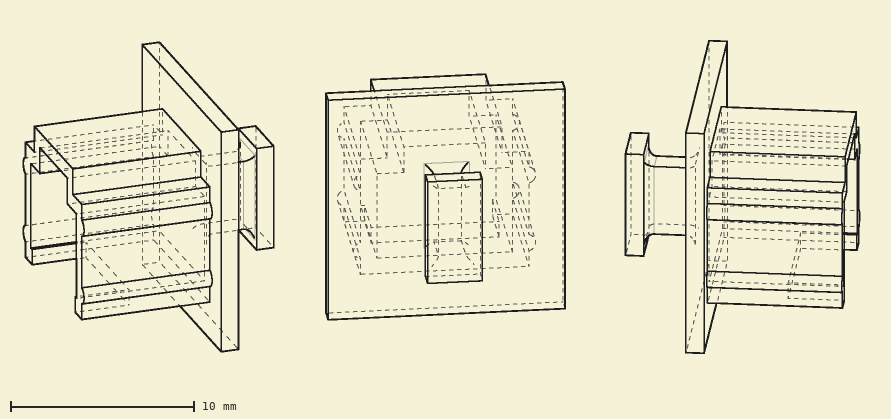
import cadquery as cq

plate_side = 13.0
plate_thickness = 1.0

plug_length = 7.4
plug_width = 9.25
crown_width = 6.3
plug_bottom = -4.3
shoulder_height = 2.51
plug_top = 4.03
wall = 0.91

notch_width = 7.02
notch_length = 3.1

rib_radius = 0.5
rib_span = 10.0
rib_heights = (1.1, -2.9)

stem_width = 1.5
stem_height = 4.0
knob_length = 3.8
cap_width = 3.0
cap_height = 6.0
cap_thickness = 1.0
stem_fillet = 0.5

knob_end = plate_thickness + knob_length
cap_start = knob_end - cap_thickness


def box_between(width, height, y_start, y_end):
    """Box centred on X and Z, running along Y."""
    length = y_end - y_start
    return cq.Workplane("XY").box(width, length, height).translate((0, (y_start + y_end) / 2, 0))


def stepped_prism(inset):
    """Plug outline moved inward by inset, extruded forward from the plate."""
    half_width = plug_width / 2 - inset
    half_crown = crown_width / 2 - inset
    bottom = plug_bottom + inset
    shoulder = shoulder_height - inset
    top = plug_top - inset
    outline = [
        (-half_width, bottom),
        (half_width, bottom),
        (half_width, shoulder),
        (half_crown, shoulder),
        (half_crown, top),
        (-half_crown, top),
        (-half_crown, shoulder),
        (-half_width, shoulder),
    ]
    return cq.Workplane("XZ").polyline(outline).close().extrude(plug_length)


def make_plug():
    rib_x = rib_span / 2 - rib_radius
    rib_centres = [(side * rib_x, z) for side in (-1, 1) for z in rib_heights]
    ribs = cq.Workplane("XZ").pushPoints(rib_centres).circle(rib_radius).extrude(plug_length)
    notch = box_between(notch_width, wall, -plug_length, notch_length - plug_length)
    notch = notch.translate((0, 0, plug_bottom + wall / 2))
    return stepped_prism(0).union(ribs).cut(stepped_prism(wall)).cut(notch)


def make_plate_and_knob():
    plate = box_between(plate_side, plate_side, 0, plate_thickness)
    stem = box_between(stem_width, stem_height, plate_thickness, cap_start)
    cap = box_between(cap_width, cap_height, cap_start, knob_end)
    body = plate.union(stem).union(cap)

    margin = 0.13
    stem_ends = cq.selectors.BoxSelector(
        (-stem_width / 2 - margin, plate_thickness - margin, -stem_height / 2 - margin),
        (stem_width / 2 + margin, cap_start + margin, stem_height / 2 + margin),
    )
    return body.edges(stem_ends).edges("not |Y").fillet(stem_fillet)


result = make_plate_and_knob().union(make_plug())